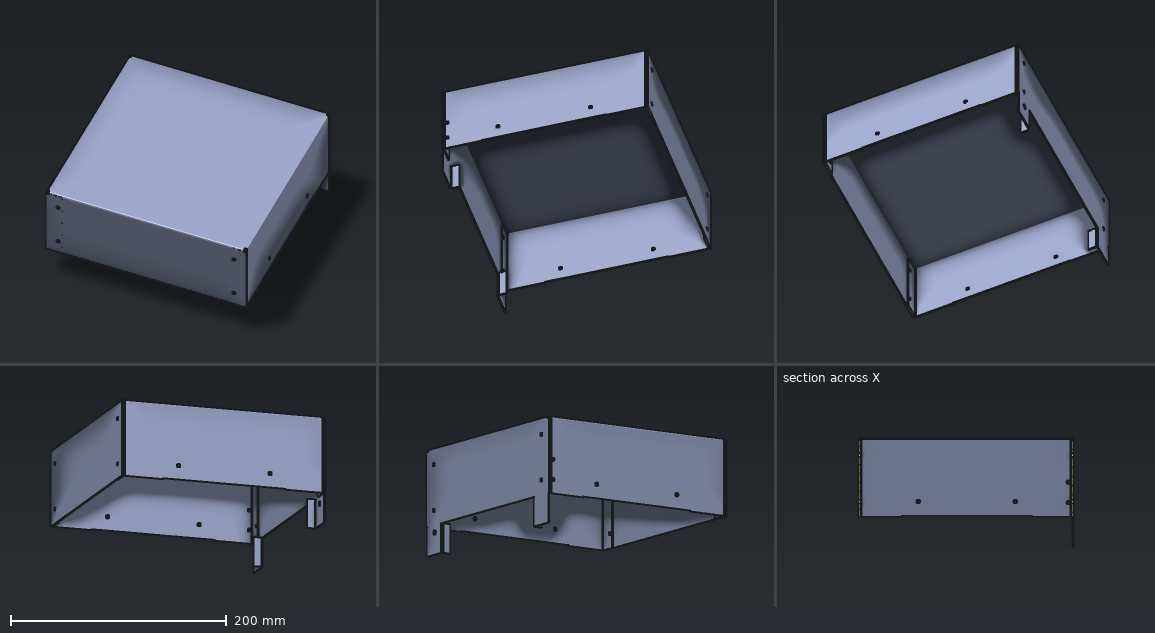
import cadquery as cq


width = 202.0
depth = 200.0
height = 101.0
cover_height = 73.1

sheet = 1.2
bend_radius = 2.0
return_width = 16.2
corner_relief = 2.5

edge_step = 0.8
step_length = 120.5
side_shift = 0.8

leg_inset = 1.0
leg_width = 25.3
leg_flange = 9.3
leg_hole_diameter = 4.5
leg_hole_x = 87.3
leg_hole_z = 21.0

screw_diameter = 3.2
face_hole_x = 88.5
face_hole_drops = (15.8, 59.0)
side_hole_spacing = 89.9
side_hole_drop = 59.0
pilot_diameter = 3.0
pilot_inset = 5.0
pilot_drops = (41.0, 60.0)

half_width = width / 2
half_depth = depth / 2
cover_bottom = height - cover_height
side_end = half_depth - sheet
inner_radius = bend_radius - sheet


def block(x_range, y_range, z_range):
    """Box between the given limits on each axis."""
    size = [high - low for low, high in (x_range, y_range, z_range)]
    low_corner = (x_range[0], y_range[0], z_range[0])
    return cq.Workplane("XY").box(*size, centered=False).translate(low_corner)


def channel(plane, span, length):
    """Downward-open channel: a top panel with a wall folded down along two sides."""
    half = span / 2
    inner = half - sheet
    return (
        cq.Workplane(plane)
        .moveTo(-half, cover_bottom)
        .lineTo(-half, height - bend_radius)
        .radiusArc((-half + bend_radius, height), bend_radius)
        .lineTo(half - bend_radius, height)
        .radiusArc((half, height - bend_radius), bend_radius)
        .lineTo(half, cover_bottom)
        .lineTo(inner, cover_bottom)
        .lineTo(inner, height - bend_radius)
        .radiusArc((inner - inner_radius, height - sheet), -inner_radius)
        .lineTo(-inner + inner_radius, height - sheet)
        .radiusArc((-inner, height - bend_radius), -inner_radius)
        .lineTo(-inner, cover_bottom)
        .close()
        .extrude(length / 2, both=True)
    )


def angle(corner_x, corner_y, x_leg, y_leg, bottom, top):
    """Upright folded angle; the signed leg lengths run from its sharp outer corner."""
    x_dir = 1 if x_leg > 0 else -1
    y_dir = 1 if y_leg > 0 else -1
    turn = x_dir * y_dir

    def at(along_x, along_y):
        return (corner_x + x_dir * along_x, corner_y + y_dir * along_y)

    return (
        cq.Workplane("XY", origin=(0, 0, bottom))
        .moveTo(*at(abs(x_leg), 0))
        .lineTo(*at(bend_radius, 0))
        .radiusArc(at(0, bend_radius), -turn * bend_radius)
        .lineTo(*at(0, abs(y_leg)))
        .lineTo(*at(sheet, abs(y_leg)))
        .lineTo(*at(sheet, bend_radius))
        .radiusArc(at(bend_radius, sheet), turn * inner_radius)
        .lineTo(*at(abs(x_leg), sheet))
        .close()
        .extrude(top - bottom)
    )


def hole_along_y(x, z, diameter, y_start, y_end):
    cutter = cq.Workplane("XZ", origin=(x, y_start, z)).circle(diameter / 2)
    return cutter.extrude(y_start - y_end)


def hole_along_x(y, z, diameter, x_start, x_end):
    cutter = cq.Workplane("YZ", origin=(x_start, y, z)).circle(diameter / 2)
    return cutter.extrude(x_end - x_start)


result = channel("YZ", depth, width)
fold_bottom = height - bend_radius
relief_x = half_width - corner_relief
relief_y = half_depth - bend_radius - sheet
for x_range in ((-half_width, -relief_x), (relief_x, half_width)):
    result = result.cut(block(x_range, (-half_depth, half_depth), (fold_bottom, height)))

sides = channel("XZ", width, 2 * relief_y)
step_front = side_shift - step_length / 2
step_back = side_shift + step_length / 2
sides = sides.cut(
    block(
        (-half_width, half_width),
        (step_front, step_back),
        (cover_bottom, cover_bottom + edge_step),
    )
)
result = result.union(sides)

return_stub = bend_radius + sheet
for x_sign in (-1, 1):
    for y_sign in (-1, 1):
        result = result.union(
            angle(
                x_sign * half_width,
                y_sign * side_end,
                -x_sign * return_width,
                -y_sign * return_stub,
                cover_bottom,
                fold_bottom,
            )
        )

for x_sign in (-1, 1):
    inner_x = half_width - leg_inset - leg_width
    leg = angle(x_sign * inner_x, half_depth, x_sign * leg_width, -leg_flange, 0, cover_bottom)
    result = result.union(leg)

for x in (-face_hole_x, face_hole_x):
    for drop in face_hole_drops:
        result = result.cut(
            hole_along_y(x, height - drop, screw_diameter, -half_depth, half_depth)
        )

for y_sign in (-1, 1):
    y = side_shift + y_sign * side_hole_spacing / 2
    result = result.cut(
        hole_along_x(y, height - side_hole_drop, screw_diameter, -half_width, half_width)
    )

for drop in pilot_drops:
    result = result.cut(
        hole_along_x(half_depth - pilot_inset, height - drop, pilot_diameter, -half_width, 0)
    )

result = result.cut(
    hole_along_y(leg_hole_x, leg_hole_z, leg_hole_diameter, half_depth - sheet, half_depth)
)

result = result.clean()